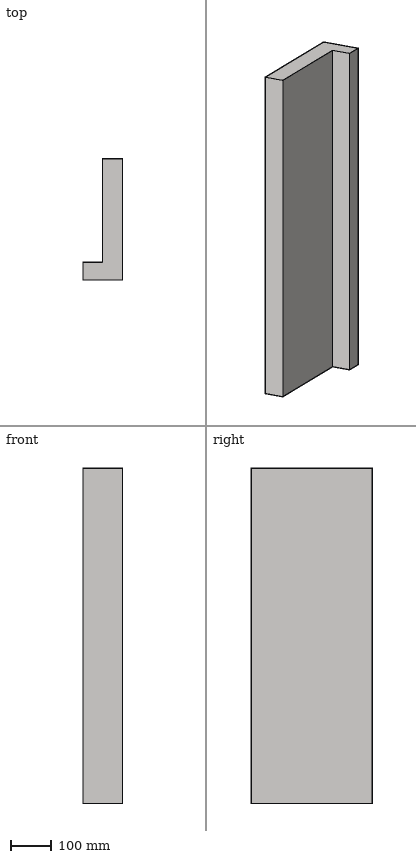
import cadquery as cq

width = 98.0
depth = 302.0
height = 833.5

panel_thickness = 50.0
lip_thickness = 45.0

panel_face_x = width - panel_thickness
section = [
    (0, 0),
    (width, 0),
    (width, depth),
    (panel_face_x, depth),
    (panel_face_x, lip_thickness),
    (0, lip_thickness),
]

result = cq.Workplane("XY").polyline(section).close().extrude(height)